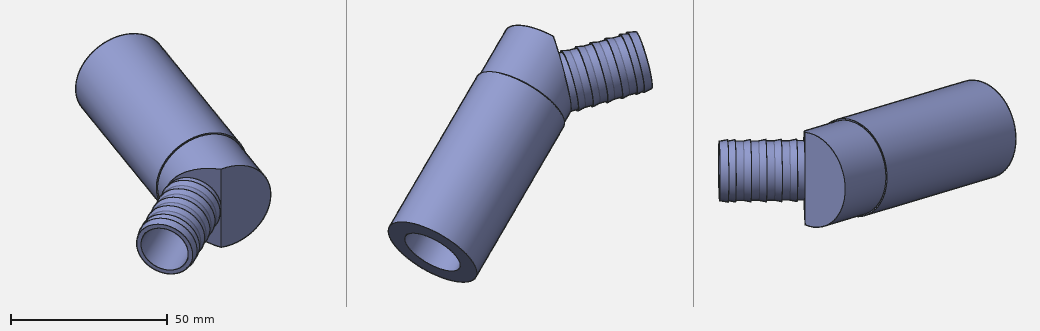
import cadquery as cq
import math

body_radius = 16.0
body_length = 60.0
collar_radius = 15.5
overall_body_length = 79.0

socket_radius = 10.0
socket_depth = body_length
bore_diameter = 16.0

spigot_angle = 45
spigot_radius = 9.5
spigot_length = 27.1
barb_radius = 10.0
barb_length = 2.4
barb_pitch = 4.9
barb_count = 5
first_barb = 2.4
tip_barb = first_barb + (barb_count - 1) * barb_pitch + barb_length

bevel_run = 2 * spigot_radius * math.cos(math.radians(spigot_angle))
bevel_rise = 2 * spigot_radius * math.sin(math.radians(spigot_angle))
face_x = overall_body_length - bevel_run / 2
face_y = -collar_radius + bevel_rise / 2

elbow_x = face_x + face_y / math.tan(math.radians(spigot_angle))


def rod(radius, length, start=0.0):
    """Cylinder along +X on the body axis."""
    return cq.Workplane("YZ").workplane(offset=start).circle(radius).extrude(length)


def make_body():
    sleeve = rod(body_radius, body_length)
    collar = rod(collar_radius, overall_body_length - body_length, body_length)
    bevel = (
        cq.Workplane("XY")
        .moveTo(overall_body_length, -collar_radius)
        .lineTo(overall_body_length, -collar_radius + bevel_rise)
        .lineTo(overall_body_length - bevel_run, -collar_radius)
        .close()
        .extrude(collar_radius, both=True)
    )
    return sleeve.union(collar.cut(bevel))


def make_barb(start, end):
    """Ring around +X, steep towards the body and tapering to the spigot surface."""
    return cq.Workplane(
        cq.Solid.makeCone(
            barb_radius, spigot_radius, end - start, pnt=cq.Vector(start, 0, 0), dir=cq.Vector(1, 0, 0)
        )
    )


def make_spigot():
    """Spigot built along +X from the origin, then turned and moved onto the bevelled face."""
    spigot = rod(spigot_radius, spigot_length)
    for i in range(barb_count):
        start = first_barb + i * barb_pitch
        spigot = spigot.union(make_barb(start, start + barb_length))
    spigot = spigot.union(make_barb(tip_barb, spigot_length))
    turned = spigot.rotate((0, 0, 0), (0, 0, 1), -spigot_angle)
    return turned.translate((face_x, face_y, 0))


def make_bore():
    """Wide socket, then an even bore that turns in a mitre at the elbow and leaves through the tip."""
    tip_x = face_x + spigot_length * math.cos(math.radians(spigot_angle))
    tip_y = face_y - spigot_length * math.sin(math.radians(spigot_angle))
    path = cq.Workplane("XY").polyline([(0, 0), (elbow_x, 0), (tip_x, tip_y)])
    bent_bore = cq.Workplane("YZ").circle(bore_diameter / 2).sweep(path, transition="right")
    return bent_bore.union(rod(socket_radius, socket_depth))


result = make_body().union(make_spigot()).cut(make_bore())